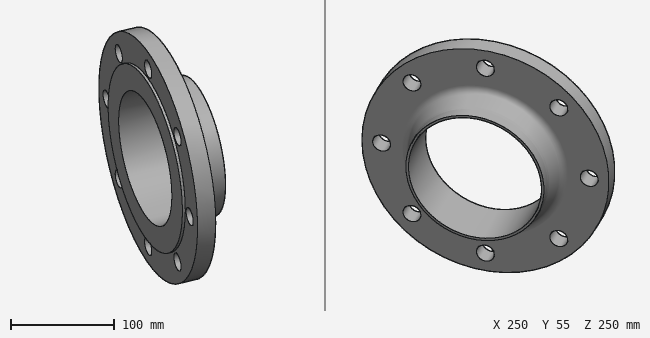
import cadquery as cq

flange_diameter = 250.0
face_diameter = 188.0
face_height = 3.0
flange_back = 22.0
bore_diameter = 134.5

overall_length = 55.0
neck_diameter = 139.8
neck_length = 13.5
hub_diameter = 157.0
root_fillet = 8.0
neck_fillet = 8.0

bolt_count = 8
bolt_circle_diameter = 210.0
bolt_hole_diameter = 18.0


def cylinder(diameter, start, end):
    """Solid cylinder on the Y axis between two Y positions."""
    return cq.Workplane("XZ", origin=(0, start, 0)).circle(diameter / 2).extrude(start - end)


def revolved_blank():
    """Raised face, plate and tapered neck with blended corners, before drilling."""
    neck_start = overall_length - neck_length
    profile = (
        cq.Workplane("XY")
        .moveTo(0, 0)
        .lineTo(face_diameter / 2, 0)
        .lineTo(face_diameter / 2, face_height)
        .lineTo(flange_diameter / 2, face_height)
        .lineTo(flange_diameter / 2, flange_back)
        .lineTo(hub_diameter / 2, flange_back)
        .lineTo(neck_diameter / 2, neck_start)
        .lineTo(neck_diameter / 2, overall_length)
        .lineTo(0, overall_length)
        .close()
    )
    blank = profile.revolve(360, (0, 0, 0), (0, 1, 0))
    root_edge = circle_edge(flange_back, hub_diameter)
    neck_edge = circle_edge(neck_start, neck_diameter)
    return blank.edges(root_edge).fillet(root_fillet).edges(neck_edge).fillet(neck_fillet)


def circle_edge(height, diameter):
    """Selector for the circular edge of one diameter at one Y position."""
    margin = 0.2
    reach = diameter / 2 + margin
    return cq.selectors.BoxSelector(
        (-reach, height - margin, -reach), (reach, height + margin, reach), boundingbox=True
    )


def bolt_holes():
    """Equally spaced through holes, starting on the X axis."""
    return (
        cq.Workplane("XZ")
        .polarArray(bolt_circle_diameter / 2, 0, 360, bolt_count)
        .circle(bolt_hole_diameter / 2)
        .extrude(-flange_back)
    )


bore = cylinder(bore_diameter, 0, overall_length)
result = revolved_blank().cut(bore).cut(bolt_holes())